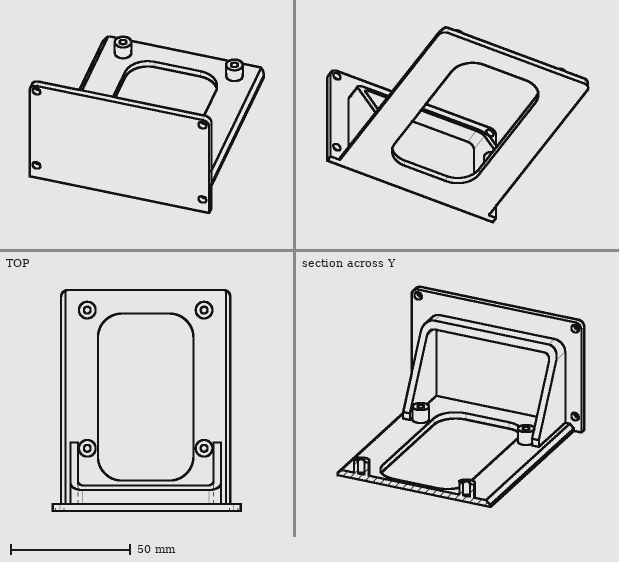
import cadquery as cq

plate_width = 79.0
plate_height = 50.75
plate_thickness = 3.0
plate_corner_radius = 3.0
plate_hole_diameter = 3.4
plate_hole_inset = 3.0
plate_hole_pitch_z = 41.0

total_depth = 92.8
base_width = 71.1
base_center_x = 39.05
base_thickness = 3.0
base_corner_radius = 3.0
base_chamfer = 1.9

window_width = 40.0
window_length = 70.0
window_radius = 10.0
window_back_margin = 10.0

standoff_diameter = 7.0
standoff_hole_diameter = 2.9
standoff_height = 6.0
standoff_pitch_x = 49.0
standoff_pitch_y = 58.0
standoff_back_margin = 8.5

hood_width = 63.1
hood_wall = 3.15
hood_top_z = 41.0
hood_outer_radius = 5.0
hood_inner_radius = 3.0
hood_roof_y = 8.8
hood_back_y = 28.75
hood_heel_z = 6.1


def make_plate():
    plate = cq.Workplane("XY").box(plate_width, plate_thickness, plate_height, centered=False)
    plate = plate.edges("|Y and >Z").fillet(plate_corner_radius)
    hole_top_z = plate_height - plate_hole_inset
    hole_points = [
        (x, z)
        for x in (plate_hole_inset, plate_width - plate_hole_inset)
        for z in (hole_top_z, hole_top_z - plate_hole_pitch_z)
    ]
    holes = (
        cq.Workplane("XZ")
        .pushPoints(hole_points)
        .circle(plate_hole_diameter / 2)
        .extrude(-plate_thickness)
    )
    return plate.cut(holes)


def make_base():
    base_length = total_depth - plate_thickness
    base = (
        cq.Workplane("XY")
        .box(base_width, base_length, base_thickness, centered=(True, False, False))
        .edges("|Z and >Y")
        .fillet(base_corner_radius)
        .translate((base_center_x, plate_thickness, 0))
    )
    for side in (-1, 1):
        base = base.cut(make_side_bevel(side))

    window_center_y = total_depth - window_back_margin - window_length / 2
    window = (
        cq.Workplane("XY")
        .center(base_center_x, window_center_y)
        .rect(window_width, window_length)
        .extrude(base_thickness)
        .edges("|Z")
        .fillet(window_radius)
    )
    return base.cut(window)


def make_side_bevel(side):
    """Wedge that bevels the top edge along one side of the base (-1 left, 1 right)."""
    edge_x = base_center_x + side * base_width / 2
    return (
        cq.Workplane("XZ")
        .moveTo(edge_x, base_thickness)
        .lineTo(edge_x - side * base_chamfer, base_thickness)
        .lineTo(edge_x, base_thickness - base_chamfer)
        .close()
        .extrude(-total_depth)
    )


def make_hood():
    outer = make_arch(hood_width, hood_top_z, hood_outer_radius)
    inner = make_arch(hood_width - 2 * hood_wall, hood_top_z - hood_wall, hood_inner_radius)
    side_profile = (
        cq.Workplane("YZ")
        .moveTo(plate_thickness, base_thickness)
        .lineTo(hood_back_y, base_thickness)
        .lineTo(hood_back_y, hood_heel_z)
        .lineTo(hood_roof_y, hood_top_z)
        .lineTo(plate_thickness, hood_top_z)
        .close()
        .extrude(plate_width)
    )
    return outer.cut(inner).intersect(side_profile)


def make_arch(width, top_z, radius):
    """Block from the plate to the hood's back, with its two top edges rounded."""
    return (
        cq.Workplane("XY")
        .box(width, hood_back_y - plate_thickness, top_z, centered=(True, False, False))
        .edges("|Y and >Z")
        .fillet(radius)
        .translate((base_center_x, plate_thickness, 0))
    )


def standoff_cylinders(diameter):
    center_y = total_depth - standoff_back_margin - standoff_pitch_y / 2
    return (
        cq.Workplane("XY", origin=(base_center_x, center_y, base_thickness))
        .rect(standoff_pitch_x, standoff_pitch_y, forConstruction=True)
        .vertices()
        .circle(diameter / 2)
        .extrude(standoff_height)
    )


result = (
    make_plate()
    .union(make_base())
    .union(make_hood())
    .union(standoff_cylinders(standoff_diameter))
    .cut(standoff_cylinders(standoff_hole_diameter))
)